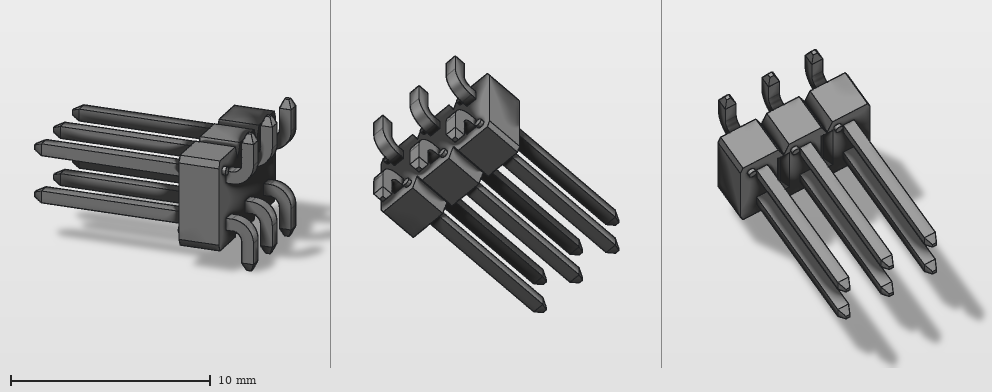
import cadquery as cq

PIN_COLUMNS = 3
BODY_LENGTH = 7.62
PITCH = BODY_LENGTH / PIN_COLUMNS
BODY_DEPTH = 2.15
BODY_HEIGHT = 4.85

END_BEVEL_WIDTH = 0.15
END_BEVEL_HEIGHT = 0.37
NOTCH_TOP_WIDTH = 0.64
NOTCH_BOTTOM_WIDTH = 0.05
NOTCH_DEPTH = 0.7

POCKET_WIDTH = 0.71
POCKET_HEIGHT = 3.22
POCKET_SIDE_INSET = 0.29
POCKET_END_INSET = 0.25
POCKET_DEPTH = 0.44

TOTAL_LENGTH = 11.89
TOTAL_HEIGHT = 7.37
PIN_SIZE = 0.64
BEND_INNER_RADIUS = 0.5
TAIL_REACH = 1.49
TIP_LENGTH = 0.45
TIP_SIZE = 0.24

PEG_DIAMETER = 0.43
PEG_LENGTH = 0.2
PEG_OFFSET_Y = 0.65
PEG_OFFSET_Z = 0.48

half_length = BODY_LENGTH / 2
half_height = BODY_HEIGHT / 2
row_z = PITCH / 2
column_positions = [(i - (PIN_COLUMNS - 1) / 2) * PITCH for i in range(PIN_COLUMNS)]
gap_positions = [(left + right) / 2 for left, right in zip(column_positions, column_positions[1:])]


def along_x(x):
    """Workplane facing +X at the given X, with local axes Y and Z."""
    return cq.Workplane("YZ", origin=(x, 0, 0))


def make_body():
    """Moulded block with bevelled ends and notches, alike at top and bottom."""
    upper_edge = [
        (-half_length, half_height - END_BEVEL_HEIGHT),
        (-half_length + END_BEVEL_WIDTH, half_height),
    ]
    for y in gap_positions:
        upper_edge += [
            (y - NOTCH_TOP_WIDTH / 2, half_height),
            (y - NOTCH_BOTTOM_WIDTH / 2, half_height - NOTCH_DEPTH),
            (y + NOTCH_BOTTOM_WIDTH / 2, half_height - NOTCH_DEPTH),
            (y + NOTCH_TOP_WIDTH / 2, half_height),
        ]
    upper_edge += [
        (half_length - END_BEVEL_WIDTH, half_height),
        (half_length, half_height - END_BEVEL_HEIGHT),
    ]
    lower_edge = [(y, -z) for y, z in reversed(upper_edge)]
    return along_x(0).polyline(upper_edge + lower_edge).close().extrude(BODY_DEPTH)


def make_pocket(y):
    """Cutter for one pocket, narrowing from the front face to its flat floor."""
    return (
        along_x(0)
        .center(y, 0)
        .rect(POCKET_WIDTH, POCKET_HEIGHT)
        .workplane(offset=POCKET_DEPTH)
        .rect(POCKET_WIDTH - 2 * POCKET_SIDE_INSET, POCKET_HEIGHT - 2 * POCKET_END_INSET)
        .loft()
    )


def make_tip(base_plane):
    """Blunt square pyramid that ends a pin, rising from the given plane."""
    return (
        base_plane.rect(PIN_SIZE, PIN_SIZE)
        .workplane(offset=TIP_LENGTH)
        .rect(TIP_SIZE, TIP_SIZE)
        .loft()
    )


def make_upper_pin(y):
    """Pin of the upper row: straight through the body, then bent up behind it."""
    tail_x = BODY_DEPTH + TAIL_REACH - PIN_SIZE / 2
    front_x = BODY_DEPTH + TAIL_REACH - TOTAL_LENGTH + TIP_LENGTH
    tail_z = TOTAL_HEIGHT / 2 - TIP_LENGTH
    bend_radius = BEND_INNER_RADIUS + PIN_SIZE / 2
    centre_line = (
        cq.Workplane("XZ", origin=(0, y, 0))
        .moveTo(front_x, row_z)
        .lineTo(tail_x - bend_radius, row_z)
        .tangentArcPoint((tail_x, row_z + bend_radius), relative=False)
        .lineTo(tail_x, tail_z)
    )
    shank = along_x(front_x).center(y, row_z).rect(PIN_SIZE, PIN_SIZE).sweep(centre_line)
    front_tip = make_tip(cq.Workplane("YZ", origin=(front_x, y, row_z)).workplane(invert=True))
    tail_tip = make_tip(cq.Workplane("XY", origin=(tail_x, y, tail_z)))
    return shank.union(front_tip).union(tail_tip)


def make_pegs(y):
    """Front and back pegs of one column, at opposite corners; the back pair is mirrored in Y."""
    peg_radius = PEG_DIAMETER / 2
    peg_z = row_z + PEG_OFFSET_Z
    front_points = [(y + PEG_OFFSET_Y, peg_z), (y - PEG_OFFSET_Y, -peg_z)]
    back_points = [(y - PEG_OFFSET_Y, peg_z), (y + PEG_OFFSET_Y, -peg_z)]
    front_pegs = along_x(0).pushPoints(front_points).circle(peg_radius).extrude(-PEG_LENGTH)
    back_pegs = along_x(BODY_DEPTH).pushPoints(back_points).circle(peg_radius).extrude(PEG_LENGTH)
    return front_pegs, back_pegs


result = make_body()
for gap_y in gap_positions:
    result = result.cut(make_pocket(gap_y))
for column_y in column_positions:
    upper_pin = make_upper_pin(column_y)
    lower_pin = upper_pin.mirror("XY")
    result = result.union(upper_pin).union(lower_pin)
    for pegs in make_pegs(column_y):
        result = result.union(pegs)